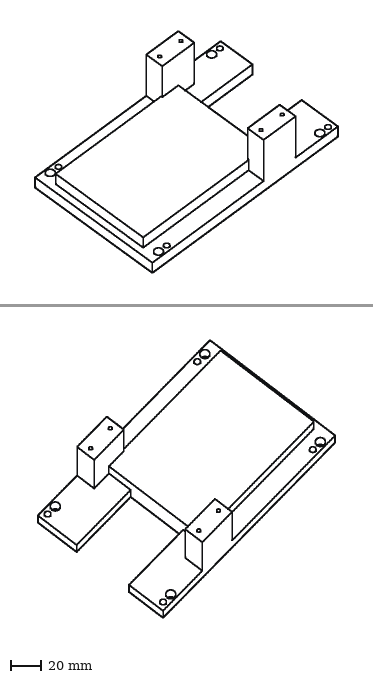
import cadquery as cq

width = 110.0
length = 175.0
height = 50.0
plate_thickness = 10.0

slot_left_margin = 30.0
slot_width = 46.0
slot_depth = 55.0

pad_width = 82.0
pad_front_margin = 5.5
pad_thickness = 10.0
pad_length = length - slot_depth - pad_front_margin

block_width = 15.0
block_length = 30.3
block_rear_gap = 39.9
block_height = height - plate_thickness
block_center_x = (width - block_width) / 2
block_center_y = length - block_rear_gap - block_length / 2

screw_diameter = 2.5
screw_spacing = 20.0
screw_depth = 17.5

small_diameter = 4.4
large_diameter = 6.6
hole_spacing_x = 101.5
small_front_y = 17.8
large_front_y = 10.2
hole_spacing_y = 152.0


def box_on(z, size_x, size_y, size_z, x_center, y_front):
    """Box centred on x_center, starting at y_front and standing on height z."""
    solid = cq.Workplane("XY").box(size_x, size_y, size_z, centered=(True, False, False))
    return solid.translate((x_center, y_front, z))


def corner_holes(diameter, front_y):
    """Four vertical cutters through the plate, in a front row and a rear row."""
    cutters = cq.Workplane("XY").center(0, front_y + hole_spacing_y / 2)
    cutters = cutters.rarray(hole_spacing_x, hole_spacing_y, 2, 2)
    return cutters.circle(diameter / 2).extrude(plate_thickness)


plate = box_on(0, width, length, plate_thickness, 0, 0)
slot_center_x = -width / 2 + slot_left_margin + slot_width / 2
slot = box_on(0, slot_width, slot_depth, plate_thickness, slot_center_x, length - slot_depth)
result = plate.cut(slot)

result = result.union(box_on(plate_thickness, pad_width, pad_length, pad_thickness, 0, pad_front_margin))

for side in (-1, 1):
    block_front_y = block_center_y - block_length / 2
    block = box_on(
        plate_thickness, block_width, block_length, block_height, side * block_center_x, block_front_y
    )
    result = result.union(block)

screw_holes = (
    cq.Workplane("XY", origin=(0, block_center_y, height))
    .rarray(2 * block_center_x, screw_spacing, 2, 2)
    .circle(screw_diameter / 2)
    .extrude(-screw_depth)
)
result = result.cut(screw_holes)

result = result.cut(corner_holes(small_diameter, small_front_y))
result = result.cut(corner_holes(large_diameter, large_front_y))